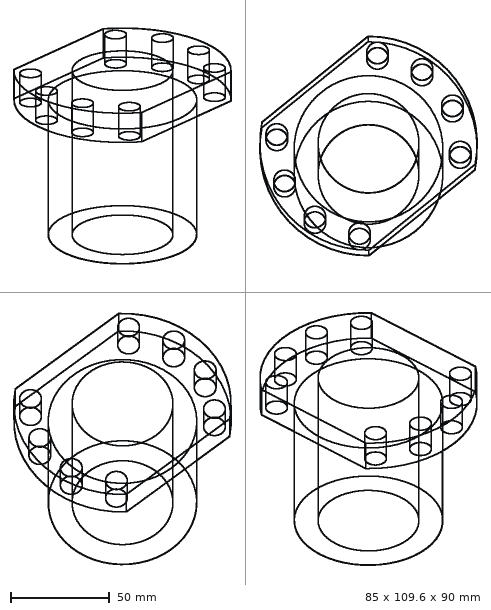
import cadquery as cq

flange_diameter = 109.6
flange_width = 85.0
flange_thickness = 16.0

total_height = 90.0
barrel_diameter = 75.0
bore_diameter = 50.9

bolt_circle_diameter = 93.0
bolt_hole_diameter = 11.0
bolt_holes_per_side = 4
bolt_spacing_angle = 30.0
first_bolt_angle = 45.0


def make_flange():
    """Round flange at the top of the part, cut to two flats facing -X and +X."""
    disc = cq.Workplane("XY").circle(flange_diameter / 2).extrude(flange_thickness)
    flats = cq.Workplane("XY").rect(flange_width, flange_diameter).extrude(flange_thickness)
    return disc.intersect(flats).translate((0, 0, total_height - flange_thickness))


def make_bolt_holes(side_angle):
    """Cutters for one group of flange holes, turned about the axis by side_angle."""
    return (
        cq.Workplane("XY")
        .workplane(offset=total_height - flange_thickness)
        .polarArray(
            bolt_circle_diameter / 2,
            side_angle + first_bolt_angle,
            bolt_spacing_angle * (bolt_holes_per_side - 1),
            bolt_holes_per_side,
        )
        .circle(bolt_hole_diameter / 2)
        .extrude(flange_thickness)
    )


barrel = cq.Workplane("XY").circle(barrel_diameter / 2).extrude(total_height)
bore = cq.Workplane("XY").circle(bore_diameter / 2).extrude(total_height)

result = barrel.union(make_flange()).cut(bore)
for group_angle in (0, 180):
    result = result.cut(make_bolt_holes(group_angle))